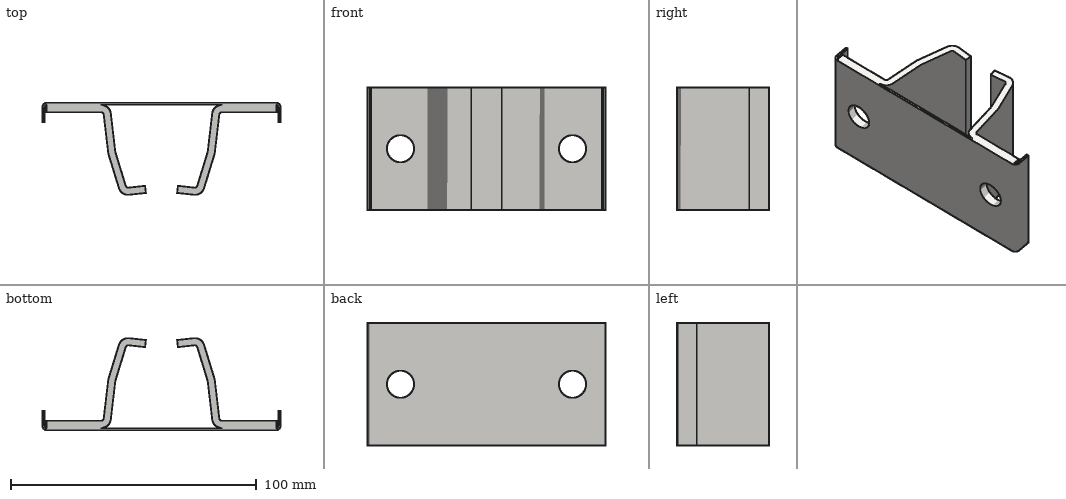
import cadquery as cq
import math

width = 97.0
height = 50.0
depth = 37.6

plate_thickness = 1.0
plate_bend_radius = 1.1
lip_depth = 8.05

channel_thickness = 3.0
channel_bend_radius = 1.0
flange_end_x = 46.85
flange_bend_x = 24.5
jaw_turns = (-83.3, 10.4, 79.2)
upper_wall_length = 15.7
jaw_tip_length = 6.9

hole_diameter = 11.0
hole_spacing = 70.0

back_y = depth / 2


def polar(point, distance, angle):
    """Point reached from another point by a distance at an angle in degrees."""
    return (
        point[0] + distance * math.cos(math.radians(angle)),
        point[1] + distance * math.sin(math.radians(angle)),
    )


def add_stretch(outline, via, end):
    """Extend an outline to end, by an arc if via holds a middle point, else straight."""
    if via:
        return outline.threePointArc(via[0], end)
    return outline.lineTo(*end)


def bent_strip(start, first_length, bends, thickness, inside_radius):
    """Bent sheet of full height whose centreline leaves start along +X.

    Each bend is a (turn in degrees, length of the straight after it) pair.
    """
    half = thickness / 2
    neutral_radius = inside_radius + half
    heading = 0.0
    position = polar(start, first_length, heading)
    left_start = polar(start, half, 90)
    right_start = polar(start, half, -90)
    left_side = [(polar(position, half, 90),)]
    right_side = [(polar(position, half, -90),)]

    for turn, length in bends:
        side = math.copysign(1, turn)
        center = polar(position, neutral_radius, heading + 90 * side)
        for path, offset in ((left_side, side), (right_side, -side)):
            radius = neutral_radius - offset * half
            middle = polar(center, radius, heading + turn / 2 - 90 * side)
            end = polar(center, radius, heading + turn - 90 * side)
            path.append((middle, end))
        heading += turn
        position = polar(center, neutral_radius, heading - 90 * side)
        position = polar(position, length, heading)
        left_side.append((polar(position, half, heading + 90),))
        right_side.append((polar(position, half, heading - 90),))

    outline = cq.Workplane("XY").workplane(offset=-height / 2).moveTo(*left_start)
    for *via, end in left_side:
        outline = add_stretch(outline, via, end)
    outline = outline.lineTo(*right_side[-1][-1])
    stretch_starts = [right_start] + [stretch[-1] for stretch in right_side[:-1]]
    for (*via, _), stretch_start in zip(reversed(right_side), reversed(stretch_starts)):
        outline = add_stretch(outline, via, stretch_start)
    return outline.close().extrude(height)


def half_back_plate():
    """Right half of the back plate with its folded lip."""
    fold_size = plate_bend_radius + plate_thickness
    return bent_strip(
        (0, back_y - plate_thickness / 2),
        width / 2 - fold_size,
        [(-90, lip_depth - fold_size)],
        plate_thickness,
        plate_bend_radius,
    )


def lower_wall_length():
    """Length of the lower wall that brings the front of its last bend to the full depth."""
    neutral_radius = channel_bend_radius + channel_thickness / 2
    upper_slope = math.radians(jaw_turns[0])
    lower_slope = math.radians(jaw_turns[0] + jaw_turns[1])
    centerline_drop = depth - plate_thickness - channel_thickness
    top_bend_drop = neutral_radius * (1 - math.cos(upper_slope))
    upper_wall_drop = -upper_wall_length * math.sin(upper_slope)
    middle_bend_drop = neutral_radius * (math.cos(lower_slope) - math.cos(upper_slope))
    last_bend_drop = neutral_radius * (1 - math.cos(lower_slope))
    wall_drop = centerline_drop - top_bend_drop - upper_wall_drop - middle_bend_drop - last_bend_drop
    return wall_drop / -math.sin(lower_slope)


def left_channel_half():
    """Left flange and jaw, seated on the front of the back plate."""
    lengths = (upper_wall_length, lower_wall_length(), jaw_tip_length)
    return bent_strip(
        (-flange_end_x, back_y - plate_thickness - channel_thickness / 2),
        flange_end_x - flange_bend_x,
        list(zip(jaw_turns, lengths)),
        channel_thickness,
        channel_bend_radius,
    )


right_plate = half_back_plate()
left_channel = left_channel_half()
body = right_plate.union(right_plate.mirror("YZ"))
body = body.union(left_channel).union(left_channel.mirror("YZ")).clean()

holes = (
    cq.Workplane("XZ")
    .pushPoints([(-hole_spacing / 2, 0), (hole_spacing / 2, 0)])
    .circle(hole_diameter / 2)
    .extrude(depth, both=True)
)

result = body.cut(holes)